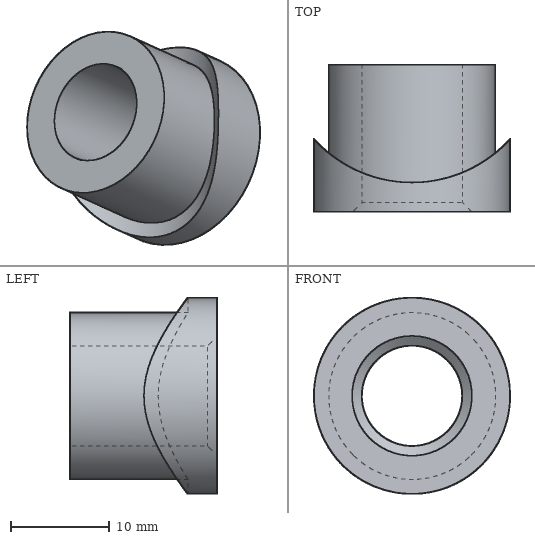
import cadquery as cq
import math

length = 15.0
head_diameter = 20.0
shank_diameter = 17.0
bore_diameter = 10.2
bore_chamfer = 1.0
head_min_thickness = 3.0
saddle_radius = 13.45


def cylinder_along_y(diameter, depth):
    """Solid cylinder on the Y axis, from the front face backwards."""
    return cq.Workplane("XZ").circle(diameter / 2).extrude(-depth)


def make_saddled_head():
    """Head whose rear is hollowed by a tube with its axis parallel to Z."""
    tube_axis_y = head_min_thickness + saddle_radius
    half_width = head_diameter / 2
    saddle_depth = saddle_radius - math.sqrt(saddle_radius**2 - half_width**2)
    head = cylinder_along_y(head_diameter, head_min_thickness + saddle_depth)
    tube = (
        cq.Workplane("XY")
        .center(0, tube_axis_y)
        .circle(saddle_radius)
        .extrude(head_diameter, both=True)
    )
    return head.cut(tube)


def make_bore():
    """Through bore with a chamfered front mouth."""
    bore = cylinder_along_y(bore_diameter, length)
    mouth_radius = bore_diameter / 2 + bore_chamfer
    mouth = cq.Workplane("XY").add(
        cq.Solid.makeCone(
            mouth_radius,
            bore_diameter / 2,
            bore_chamfer,
            pnt=cq.Vector(0, 0, 0),
            dir=cq.Vector(0, 1, 0),
        )
    )
    return bore.union(mouth)


shank = cylinder_along_y(shank_diameter, length)
result = make_saddled_head().union(shank).cut(make_bore())